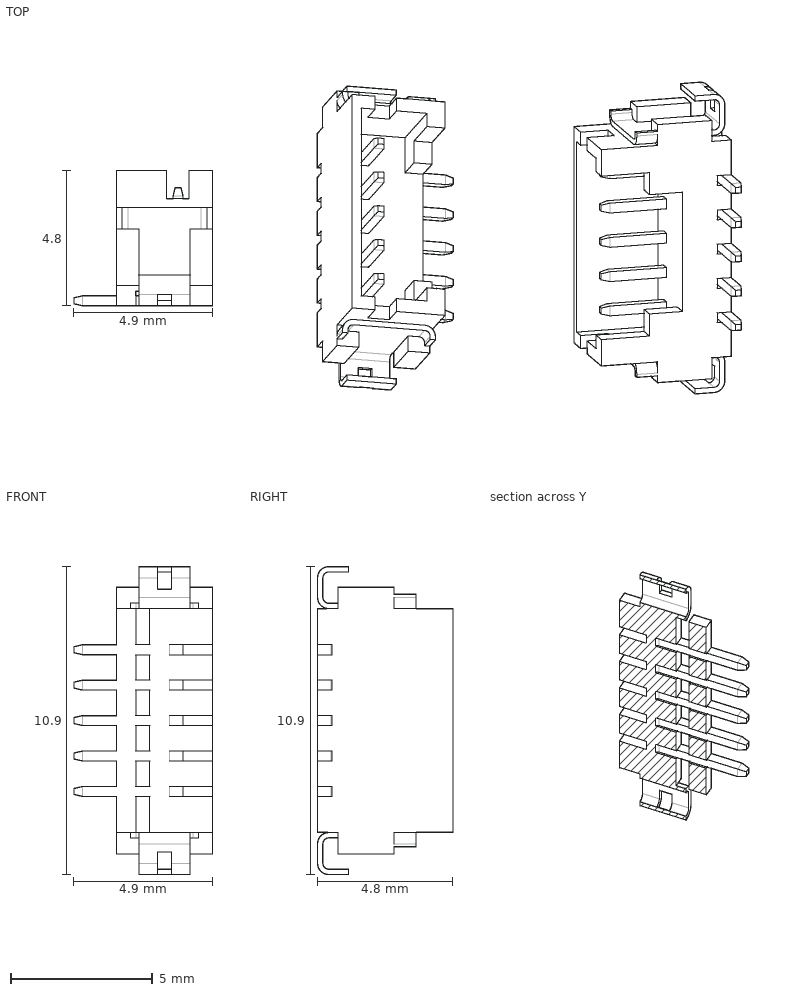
import cadquery as cq


length = 10.9
height = 4.8
body_width = 3.4
body_half = 3.96
mid_x = body_width / 2

cavity_floor = 1.8
cavity_half = 3.48
left_wall = 0.66
right_wall = 0.34
window_half = 2.99
window_floor = 3.02
notch_half = 2.18
key_left = 1.78
key_right = 2.56
key_floor = 3.79

groove_left = 0.69
groove_right = 1.18
groove_depth = 0.51

block_front = 0.72
block_back = 2.71
block_height = 0.76

sheet = 0.2
bend_radius = 0.4
clip_width = 1.81
plate_width = 2.42
plate_front = 1.09
plate_back = 3.49
plate_corner = 0.2
arm_end = 1.1
wing_height = 0.51
hole_width = 0.49
hole_start = 4.65

pin_count = 5
pin_pitch = 1.25
pin_size = 0.36
pin_tip_size = 0.22
pin_tip_length = 0.3
pin_overhang = 1.5
pin_top = 4.19
pin_bend_radius = 0.48
contact_x = 2.18
pin_slot_depth = groove_depth
pin_levels = [(i - (pin_count - 1) / 2) * pin_pitch for i in range(pin_count)]


def box(x_range, y_range, z_range):
    """Box between the given limits on each axis."""
    (x0, x1), (y0, y1), (z0, z1) = x_range, y_range, z_range
    return cq.Workplane("XY").box(x1 - x0, y1 - y0, z1 - z0, centered=False).translate((x0, y0, z0))


def centred(middle, size):
    """Limits of a span of the given size around its middle."""
    return middle - size / 2, middle + size / 2


def both_ends(shape):
    """The shape together with its mirror image at the -Z end."""
    return shape.union(shape.mirror("XY"))


def make_housing():
    full_x = (0, body_width)
    housing = box(full_x, (0, height), (-body_half, body_half))

    block_y = (block_front, block_back)
    block_z = (body_half, body_half + block_height)
    end_block = box(full_x, block_y, block_z)
    recess = box(centred(mid_x, clip_width), block_y, block_z)
    plate_slot = box(centred(mid_x, plate_width), block_y, (body_half, body_half + sheet))
    housing = housing.union(both_ends(end_block.cut(recess).cut(plate_slot)))

    cavity_x = (left_wall, body_width - right_wall)
    cavity = box(cavity_x, (cavity_floor, height), (-cavity_half, cavity_half))
    window = box((0, left_wall), (window_floor, height), (-window_half, window_half))
    notch = box((0, left_wall), (cavity_floor, height), (-notch_half, notch_half))
    key_slot = box((key_left, key_right), (key_floor, height), (-body_half, body_half))
    groove = box((groove_left, groove_right), (0, groove_depth), (-body_half, body_half))
    for opening in (cavity, window, notch, key_slot, groove):
        housing = housing.cut(opening)
    for z in pin_levels:
        housing = housing.cut(box(full_x, (0, pin_slot_depth), centred(z, pin_size)))
    return housing


def make_hook():
    """C-shaped solder hook: a leg on the plate, a bent front and a shorter arm on top."""
    x_range = centred(mid_x, clip_width)
    bottom = body_half
    top = length / 2
    leg_end = plate_front + plate_corner
    outer = box(x_range, (0, leg_end), (bottom, top))
    outer = outer.edges("|X and <Y").fillet(bend_radius)
    inner = box(x_range, (sheet, leg_end), (bottom + sheet, top - sheet))
    inner = inner.edges("|X and <Y").fillet(bend_radius - sheet)
    beyond_arm = box(x_range, (arm_end, leg_end), (bottom + sheet, top))
    hole = box(centred(mid_x, hole_width), (0, bend_radius), (hole_start, top))
    return outer.cut(inner).cut(beyond_arm).cut(hole)


def make_wings():
    """Strip behind the plate, as wide as the housing, with both ends curled up."""
    y_range = (block_back, plate_back)
    top = body_half + wing_height
    outer = box((0, body_width), y_range, (body_half, top))
    outer = outer.edges("|Y and <Z").fillet(bend_radius)
    inner = box((sheet, body_width - sheet), y_range, (body_half + sheet, top))
    inner = inner.edges("|Y and <Z").fillet(bend_radius - sheet)
    return outer.cut(inner)


def make_clip():
    plate = box(
        centred(mid_x, plate_width), (plate_front, block_back), (body_half, body_half + sheet)
    )
    plate = plate.edges("|Z and <Y").fillet(plate_corner)
    return make_hook().union(plate).union(make_wings())


def pin_tip(base_plane):
    """Tapered pin end on a plane whose normal points outwards."""
    return (
        cq.Workplane(base_plane)
        .rect(pin_size, pin_size)
        .workplane(offset=pin_tip_length)
        .rect(pin_tip_size, pin_tip_size)
        .loft(ruled=True)
    )


def make_pin():
    """L-shaped pin at Z = 0: a tail along -X and a contact along +Y."""
    x_outer = contact_x + pin_size / 2
    x_inner = contact_x - pin_size / 2
    x_tail = pin_tip_length - pin_overhang
    y_contact = pin_top - pin_tip_length
    z_range = centred(0, pin_size)
    outer = box((x_tail, x_outer), (0, y_contact), z_range)
    outer = outer.edges("|Z and >X and <Y").fillet(pin_bend_radius)
    inner = box((x_tail, x_inner), (pin_size, y_contact), z_range)
    inner = inner.edges("|Z and >X and <Y").fillet(pin_bend_radius - pin_size)
    tail_plane = cq.Plane((x_tail, pin_size / 2, 0), xDir=(0, 1, 0), normal=(-1, 0, 0))
    contact_plane = cq.Plane((contact_x, y_contact, 0), xDir=(1, 0, 0), normal=(0, 1, 0))
    return outer.cut(inner).union(pin_tip(tail_plane)).union(pin_tip(contact_plane))


result = make_housing().union(both_ends(make_clip()))
pin = make_pin()
for level in pin_levels:
    result = result.union(pin.translate((0, 0, level)))